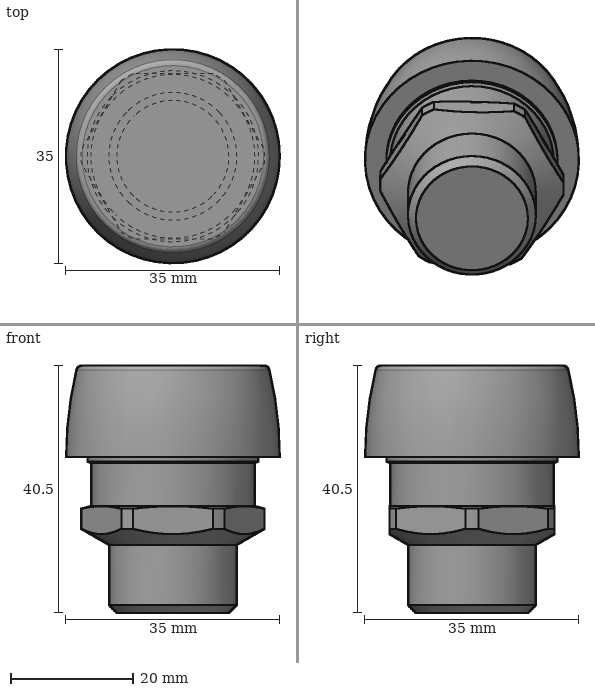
import cadquery as cq
import math

spigot_top = 11.15
hex_top = 17.5
collar_bottom = 24.55
cap_bottom = 25.5
total_height = 40.5

spigot_radius = 10.45
spigot_chamfer = 1.3

hex_sides = 6
hex_across_flats = 27.0
hex_corner_radius = 15.0
hex_lower_angle = 30.0
hex_upper_angle = 15.0

neck_radius = 13.4
collar_radius = 14.0
collar_taper_height = 0.25

cap_radius = 17.5
cap_side_arc_radius = 60.0
cap_edge_fillet = 1.0


def revolve_profile(profile):
    """Turn a closed radius-height profile around the Z axis."""
    return profile.close().revolve(360, (0, 0, 0), (0, 1, 0))


def cone_rise(radial_width, angle):
    """Height gained by a cone over a radial width."""
    return radial_width * math.tan(math.radians(angle))


def make_spigot():
    spigot = cq.Workplane("XY").circle(spigot_radius).extrude(spigot_top)
    return spigot.faces("<Z").chamfer(spigot_chamfer)


def make_hexagon():
    """Hexagon with flats facing +Y and -Y, trimmed by a turned blank with conical ends."""
    across_corners = hex_across_flats / math.cos(math.pi / hex_sides)
    prism = (
        cq.Workplane("XY")
        .workplane(offset=spigot_top)
        .polygon(hex_sides, across_corners)
        .extrude(hex_top - spigot_top)
    )
    lower_rise = cone_rise(hex_corner_radius - spigot_radius, hex_lower_angle)
    upper_drop = cone_rise(hex_corner_radius - neck_radius, hex_upper_angle)
    blank = revolve_profile(
        cq.Workplane("XZ")
        .moveTo(0, spigot_top)
        .lineTo(spigot_radius, spigot_top)
        .lineTo(hex_corner_radius, spigot_top + lower_rise)
        .lineTo(hex_corner_radius, hex_top - upper_drop)
        .lineTo(neck_radius, hex_top)
        .lineTo(0, hex_top)
    )
    return prism.intersect(blank)


def make_neck():
    return (
        cq.Workplane("XY")
        .workplane(offset=hex_top)
        .circle(neck_radius)
        .extrude(collar_bottom - hex_top)
    )


def make_collar():
    """Collar whose underside tapers in to the neck."""
    return revolve_profile(
        cq.Workplane("XZ")
        .moveTo(0, collar_bottom)
        .lineTo(neck_radius, collar_bottom)
        .lineTo(collar_radius, collar_bottom + collar_taper_height)
        .lineTo(collar_radius, cap_bottom)
        .lineTo(0, cap_bottom)
    )


def side_inset(rise):
    """Distance the cap side has curved inward at a height above the cap rim."""
    return cap_side_arc_radius - math.sqrt(cap_side_arc_radius**2 - rise**2)


def make_cap():
    """Cap whose barrel side starts vertical at the rim and curves inward to a rounded top edge."""
    cap_height = total_height - cap_bottom
    middle_rise = cap_height / 2
    cap = revolve_profile(
        cq.Workplane("XZ")
        .moveTo(0, cap_bottom)
        .lineTo(cap_radius, cap_bottom)
        .threePointArc(
            (cap_radius - side_inset(middle_rise), cap_bottom + middle_rise),
            (cap_radius - side_inset(cap_height), total_height),
        )
        .lineTo(0, total_height)
    )
    return cap.faces(">Z").edges().fillet(cap_edge_fillet)


result = (
    make_spigot()
    .union(make_hexagon())
    .union(make_neck())
    .union(make_collar())
    .union(make_cap())
)